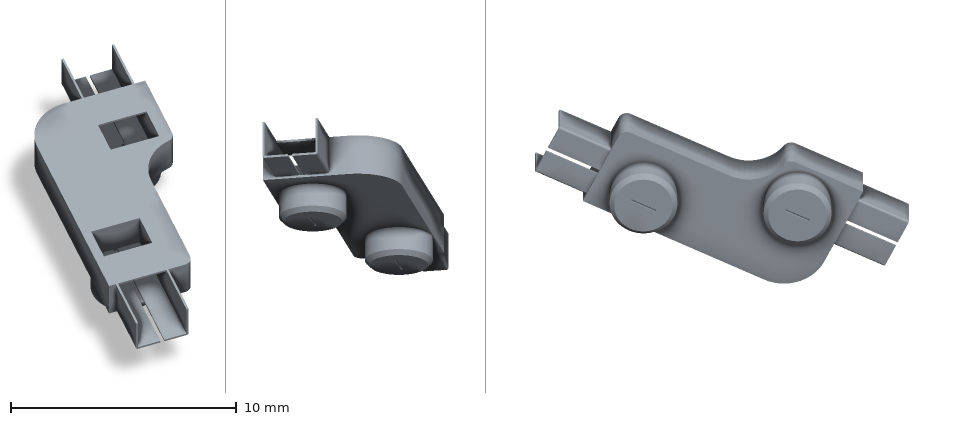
import cadquery as cq
import math


OVERALL_LENGTH = 16.0
PLATE_LENGTH = 10.95
PLATE_WIDTH = 5.89
PLATE_HEIGHT = 1.8
SHOULDER_Y = 1.05
LARGE_RADIUS = 2.0
SMALL_RADIUS = 0.4
BEND_CENTRE_X = 0.22

PEG_RADIUS = 1.5
PEG_HEIGHT = 1.25
PEG_CHAMFER = 0.2

SHEET = 0.1
CONTACT_WIDTH = 2.5
CONTACT_HEIGHT = 1.7
CONTACT_LENGTH = 5.85
STRAP_LENGTH = 1.75
TAB_LENGTH = 1.2
TAB_GAP = 0.1
RELIEF_GAP = 0.2

CONTACT_PLACES = [(-1, 1.18, -3.1), (1, -1.38, 3.25)]

HALF_LENGTH = PLATE_LENGTH / 2
HALF_WIDTH = PLATE_WIDTH / 2
CONTACT_BOTTOM = PLATE_HEIGHT - CONTACT_HEIGHT
FLOOR_TOP = CONTACT_BOTTOM + SHEET
OUTER_END = OVERALL_LENGTH / 2
INNER_END = OUTER_END - CONTACT_LENGTH
STRAP_INNER_END = HALF_LENGTH - STRAP_LENGTH
TAB_SLOT_WIDTH = TAB_GAP + 2 * SHEET


def block(x_start, x_end, y_centre, width, z_low, z_high):
    """Box between two X positions and two heights, centred on y_centre."""
    return (
        cq.Workplane("XY", origin=((x_start + x_end) / 2, y_centre, z_low))
        .box(abs(x_end - x_start), width, z_high - z_low, centered=(True, True, False))
    )


def channel_envelope(side, y_centre):
    """Outside of a contact over its full length, with the two bottom edges rounded."""
    return (
        block(side * INNER_END, side * OUTER_END, y_centre, CONTACT_WIDTH, CONTACT_BOTTOM, PLATE_HEIGHT)
        .edges("|X and <Z").fillet(SHEET)
    )


def tab_block(y_centre, peg_x):
    """Space taken by a pair of tabs and the gap between them, down to the end of the peg."""
    half_tab = TAB_LENGTH / 2
    return block(peg_x - half_tab, peg_x + half_tab, y_centre, TAB_SLOT_WIDTH, -PEG_HEIGHT, FLOOR_TOP)


def make_plate():
    """Cranked plate; the back corner arc meets the inner bend arc tangentially."""
    bend_centre_y = SHOULDER_Y + LARGE_RADIUS
    corner_centre_y = HALF_WIDTH - SMALL_RADIUS
    centre_distance = LARGE_RADIUS + SMALL_RADIUS
    rise = bend_centre_y - corner_centre_y
    corner_centre_x = BEND_CENTRE_X - math.sqrt(centre_distance**2 - rise**2)
    share = SMALL_RADIUS / centre_distance
    meet_x = corner_centre_x + share * (BEND_CENTRE_X - corner_centre_x)
    meet_y = corner_centre_y + share * rise
    return (
        cq.Workplane("XY")
        .moveTo(-HALF_LENGTH + LARGE_RADIUS, -HALF_WIDTH)
        .lineTo(HALF_LENGTH, -HALF_WIDTH)
        .lineTo(HALF_LENGTH, SHOULDER_Y - SMALL_RADIUS)
        .radiusArc((HALF_LENGTH - SMALL_RADIUS, SHOULDER_Y), -SMALL_RADIUS)
        .lineTo(BEND_CENTRE_X, SHOULDER_Y)
        .radiusArc((meet_x, meet_y), LARGE_RADIUS)
        .radiusArc((corner_centre_x, HALF_WIDTH), -SMALL_RADIUS)
        .lineTo(-HALF_LENGTH, HALF_WIDTH)
        .lineTo(-HALF_LENGTH, -HALF_WIDTH + LARGE_RADIUS)
        .radiusArc((-HALF_LENGTH + LARGE_RADIUS, -HALF_WIDTH), -LARGE_RADIUS)
        .close()
        .extrude(PLATE_HEIGHT)
    )


def make_peg(y_centre, peg_x):
    """Round peg under the plate with a chamfered end."""
    return (
        cq.Workplane("XY", origin=(peg_x, y_centre, -PEG_HEIGHT))
        .circle(PEG_RADIUS)
        .extrude(PEG_HEIGHT)
        .faces("<Z").chamfer(PEG_CHAMFER)
    )


def make_housing():
    """Plate and pegs, with a recess and a tab slot for each contact."""
    housing = make_plate()
    for side, y_centre, peg_x in CONTACT_PLACES:
        housing = housing.union(make_peg(y_centre, peg_x))
        housing = housing.cut(channel_envelope(side, y_centre))
        housing = housing.cut(tab_block(y_centre, peg_x))
    return housing


def floor_gap(side, y_centre):
    """Gap between the floor halves and tabs, widening at the top round the tab bends."""
    half_gap = TAB_GAP / 2
    half_slot = TAB_SLOT_WIDTH / 2
    return (
        cq.Workplane("YZ", origin=(side * INNER_END, y_centre, 0))
        .moveTo(-half_gap, -PEG_HEIGHT)
        .lineTo(-half_gap, CONTACT_BOTTOM)
        .radiusArc((-half_slot, FLOOR_TOP), -SHEET)
        .lineTo(half_slot, FLOOR_TOP)
        .radiusArc((half_gap, CONTACT_BOTTOM), -SHEET)
        .lineTo(half_gap, -PEG_HEIGHT)
        .close()
        .extrude(side * CONTACT_LENGTH)
    )


def make_contact(side, y_centre, peg_x):
    """One contact; side is -1 for the left end and 1 for the right end."""
    inner_width = CONTACT_WIDTH - 2 * SHEET
    contact = channel_envelope(side, y_centre)
    contact = contact.cut(
        block(side * INNER_END, side * OUTER_END, y_centre, inner_width, FLOOR_TOP, PLATE_HEIGHT)
    )

    strap_bottom = PLATE_HEIGHT - SHEET
    contact = contact.union(
        block(side * STRAP_INNER_END, side * HALF_LENGTH, y_centre, inner_width, strap_bottom, PLATE_HEIGHT)
    )

    contact = contact.union(tab_block(y_centre, peg_x))
    contact = contact.cut(floor_gap(side, y_centre))

    tab_inner_end = peg_x - side * TAB_LENGTH / 2
    tab_outer_end = peg_x + side * TAB_LENGTH / 2
    for start, end in [(side * INNER_END, tab_inner_end), (tab_outer_end, side * OUTER_END)]:
        contact = contact.cut(block(start, end, y_centre, RELIEF_GAP, CONTACT_BOTTOM, FLOOR_TOP))
    return contact


housing = make_housing()
contacts = [make_contact(side, y_centre, peg_x) for side, y_centre, peg_x in CONTACT_PLACES]

result = cq.Compound.makeCompound(
    [housing.solids().val(), *[contact.solids().val() for contact in contacts]]
)